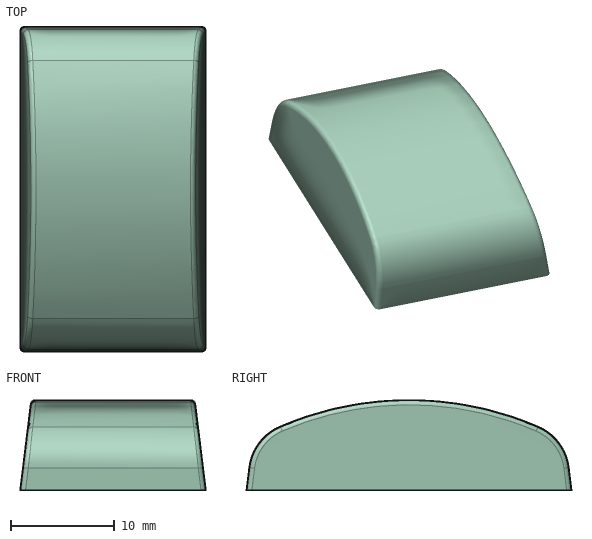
import cadquery as cq

width = 18.0
length = 31.5
height = 8.75

draft_angle = 7.0
crown_radius = length
shoulder_radius = 5.0
edge_radius = 0.5
trim_allowance = 0.5


def drafted_block():
    """Rectangular block whose four walls lean inward, taller than the finished part."""
    return (
        cq.Workplane("XY")
        .rect(width, length)
        .extrude(height + trim_allowance, taper=draft_angle)
    )


def crown_cylinder():
    """Cylinder along X whose upper surface is the arched top."""
    return (
        cq.Workplane("YZ")
        .center(0, height - crown_radius)
        .circle(crown_radius)
        .extrude(width / 2, both=True)
    )


def round_shoulders(body):
    """Round the two edges along X where the arched top meets the end walls."""
    return body.edges("|X").edges(">Z").fillet(shoulder_radius)


def round_side_edges(body):
    """Round every edge of both side walls except those on the base."""
    return body.faces("<X or >X").edges("not(<Z)").fillet(edge_radius)


arched_block = drafted_block().intersect(crown_cylinder())
shouldered_block = round_shoulders(arched_block)
result = round_side_edges(shouldered_block)